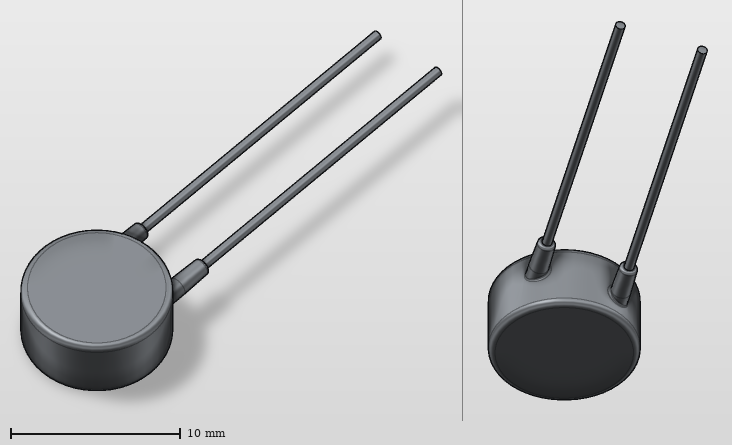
import cadquery as cq

body_diameter = 9.0
body_height = 4.4
body_edge_radius = 0.4

overall_length = 31.0
lead_end_y = overall_length - body_diameter / 2
lead_diameter = 0.6
lead_offset_x = 2.48
lead_offset_z = 0.5

collar_end_y = 6.48
collar_shoulder_y = 4.3
collar_tip_diameter = 1.1
collar_root_diameter = 1.2
collar_edge_radius = 0.2
collar_blend_radius = 0.12
collar_start_y = 2.48


def make_body():
    disc = cq.Workplane("XY").circle(body_diameter / 2).extrude(body_height)
    disc = disc.translate((0, 0, -body_height / 2))
    return disc.faces("|Z").edges().fillet(body_edge_radius)


def make_collar(x, z):
    """Cylinder rooted in the body, then a slight taper to a rounded tip."""
    profile = (
        cq.Workplane("XY")
        .moveTo(0, collar_start_y)
        .lineTo(collar_root_diameter / 2, collar_start_y)
        .lineTo(collar_root_diameter / 2, collar_shoulder_y)
        .lineTo(collar_tip_diameter / 2, collar_end_y)
        .lineTo(0, collar_end_y)
        .close()
    )
    collar = profile.revolve(360, (0, 0, 0), (0, 1, 0))
    collar = collar.faces(">Y").edges().fillet(collar_edge_radius)
    return collar.translate((x, 0, z))


def make_lead(x, z):
    lead_length = lead_end_y - collar_start_y
    lead = cq.Workplane("XZ").circle(lead_diameter / 2).extrude(-lead_length)
    return lead.translate((x, collar_start_y, z))


def joint_edges(x, z):
    """Box selector around the seam where a collar meets the body wall."""
    reach = collar_root_diameter
    return cq.selectors.BoxSelector(
        (x - reach, collar_start_y, z - reach),
        (x + reach, collar_shoulder_y - collar_blend_radius, z + reach),
    )


lead_positions = [
    (-lead_offset_x, -lead_offset_z),
    (lead_offset_x, lead_offset_z),
]

result = make_body()
for x, z in lead_positions:
    result = result.union(make_collar(x, z))
    result = result.edges(joint_edges(x, z)).fillet(collar_blend_radius)
    result = result.union(make_lead(x, z))